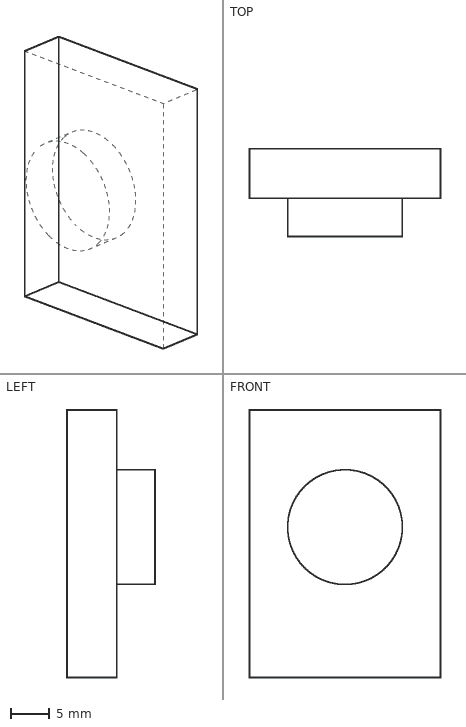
import cadquery as cq

plate_width = 25.0
plate_height = 35.0
plate_thickness = 6.5

boss_diameter = 15.0
boss_length = 5.0
boss_center_height = 19.67

plate = cq.Workplane("XY").box(
    plate_width, plate_thickness, plate_height, centered=(True, False, False)
)

boss = (
    cq.Workplane("XZ")
    .center(0, boss_center_height)
    .circle(boss_diameter / 2)
    .extrude(boss_length)
)

result = plate.union(boss)